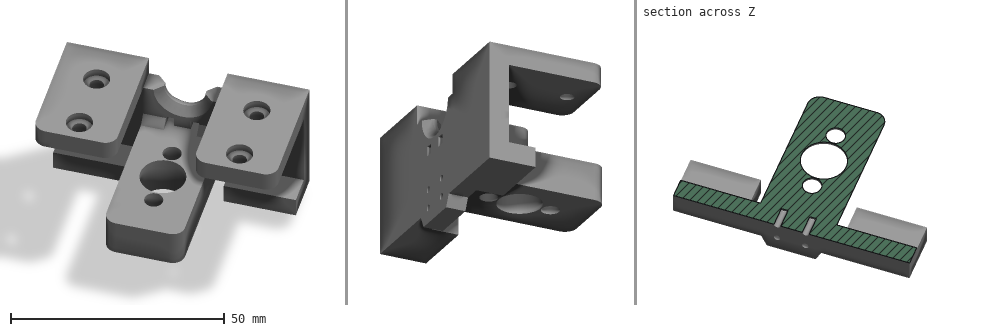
import cadquery as cq

width = 59.0
wall = 5.0
body_height = 30.05
corner_radius = 3.0

pad_width = 19.95
pad_depth = 30.05
screw_dia = 3.4
head_dia = 6.4
head_depth = 2.0
screw_inset = 10.05
screw_x = width / 2 - screw_inset
screw_depths = (10.05, 25.0)

arm_width = width - 2 * pad_width
arm_depth = 40.0
arm_top = -15.5
arm_bottom = wall - body_height
arm_bore_dia = 11.0
arm_bore_depth = 22.05
arm_screw_dia = 4.5
arm_screw_offset = 8.0
web_size = 2.0

foot_width = 17.5
foot_depth = 12.0

tab_top_width = 15.0
tab_bottom_width = 12.15
tab_height = 2.95

notch_radius = 5.0
notch_bevel = 2.0

window_inner = 2.0
window_width = 2.0
window_top = -13.1
pin_dia = 1.6
pin_x = 3.55
pin_heights = (-29.1, -24.35)


def block(x_left, x_right, depth, z_bottom, z_top):
    """Box from the back face toward -Y."""
    return cq.Workplane("XY").box(
        x_right - x_left, depth, z_top - z_bottom, centered=False
    ).translate((x_left, -depth, z_bottom))


def round_front(body):
    """Round the two upright edges at the front end."""
    return body.faces("<Y").edges("|Z").fillet(corner_radius)


def make_pad(side):
    """Screw pad on one side: -1 is left, +1 is right."""
    centre = side * (width - pad_width) / 2
    pad = round_front(block(centre - pad_width / 2, centre + pad_width / 2, pad_depth, -wall, 0))
    return (
        pad.faces(">Z").workplane(origin=(0, 0, 0))
        .pushPoints([(side * screw_x, -depth) for depth in screw_depths])
        .cboreHole(screw_dia, head_dia, head_depth)
    )


def make_foot(side):
    outer = side * width / 2
    inner = side * (width / 2 - foot_width)
    return block(min(outer, inner), max(outer, inner), foot_depth, -body_height, arm_bottom)


def make_arm():
    arm = round_front(block(-arm_width / 2, arm_width / 2, arm_depth, arm_bottom, arm_top))
    return (
        arm.faces(">Z").workplane(origin=(0, -arm_bore_depth, 0))
        .tag("bore_centre")
        .hole(arm_bore_dia)
        .workplaneFromTagged("bore_centre")
        .pushPoints([(0, -arm_screw_offset), (0, arm_screw_offset)])
        .hole(arm_screw_dia)
    )


def make_web():
    """Sloped web filling the corner above the arm."""
    return (
        cq.Workplane("YZ")
        .polyline([(-wall, arm_top), (-wall - web_size, arm_top), (-wall, arm_top + web_size)])
        .close()
        .extrude(arm_width / 2, both=True)
    )


def make_tab():
    return (
        cq.Workplane("XZ")
        .polyline([
            (-tab_top_width / 2, -body_height),
            (tab_top_width / 2, -body_height),
            (tab_bottom_width / 2, -body_height - tab_height),
            (-tab_bottom_width / 2, -body_height - tab_height),
        ])
        .close()
        .extrude(wall)
    )


def make_notch():
    """Round passage along Y, bevelled at both wall faces."""
    rim = notch_radius + notch_bevel
    return (
        cq.Workplane("XY")
        .polyline([
            (0, 0),
            (rim, 0),
            (notch_radius, -notch_bevel),
            (notch_radius, -wall + notch_bevel),
            (rim, -wall),
            (0, -wall),
        ])
        .close()
        .revolve(360, (0, 0, 0), (0, 1, 0))
        .translate((0, 0, -wall))
    )


def make_web_gap():
    """Clears the web between the outer sides of the windows."""
    half = window_inner + window_width
    gap = block(-half, half, wall + web_size, arm_top, window_top)
    return gap.cut(block(-half, half, wall, arm_top, window_top))


def make_window(side):
    near = side * window_inner
    far = side * (window_inner + window_width)
    return block(min(near, far), max(near, far), wall, arm_top, window_top)


def make_pin_holes():
    points = [(side * pin_x, z) for side in (-1, 1) for z in pin_heights]
    return cq.Workplane("XZ").pushPoints(points).circle(pin_dia / 2).extrude(wall)


wall_body = block(-width / 2, width / 2, wall, -body_height, -wall)
result = wall_body.union(make_arm()).union(make_web()).union(make_tab())
result = result.cut(make_notch()).cut(make_web_gap()).cut(make_pin_holes())
for side in (-1, 1):
    result = result.cut(make_window(side)).union(make_pad(side)).union(make_foot(side))